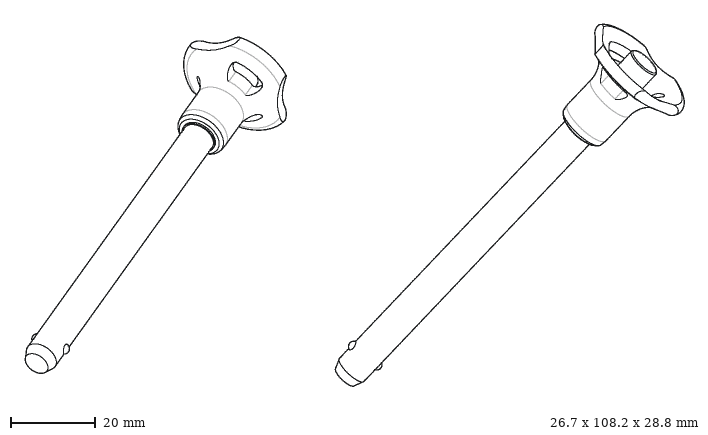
import cadquery as cq
import math

length = 108.2
shaft_radius = 4.0

button_chamfer = 0.3
tip_radius = 3.0
tip_taper_length = 2.5

ball_radius = 1.3
ball_depth = 100.8
ball_reach = 4.9

flange_radius = 14.4
rim_back_depth = 1.3
rim_radius = 1.5
collar_radius = 6.3
flare_end_depth = 12.4
collar_end_depth = 23.3
collar_nose_radius = 6.1
collar_face_radius = 5.3
nose_taper_start = collar_end_depth - 2.4
nose_chamfer_start = collar_end_depth - 0.8
seal_radius = 4.3
seal_end_depth = 23.7
dish_floor_depth = 10.3
dish_bulge = 1.1

lobe_count = 3
cut_half_angle = 31.0
cut_bottom_radius = 11.4

opening_circle_radius = 8.2
slot_width = 2.9
slot_half_sweep = 22.0
slot_angles = (60.0, -60.0)
hole_diameter = 2.2


def revolve_about_y(profile):
    return profile.close().revolve(360, (0, 0, 0), (0, 1, 0))


def polar(radius, degrees):
    angle = math.radians(degrees)
    return (radius * math.cos(angle), radius * math.sin(angle))


def through_prism(sketch):
    """Extrude an XZ outline towards the tip, through the whole handle."""
    return sketch.extrude(collar_end_depth)


def make_shaft():
    profile = (
        cq.Workplane("XY")
        .lineTo(shaft_radius - button_chamfer, 0)
        .lineTo(shaft_radius, -button_chamfer)
        .lineTo(shaft_radius, tip_taper_length - length)
        .lineTo(tip_radius, -length)
        .lineTo(0, -length)
    )
    return revolve_about_y(profile)


def make_handle_body():
    rim_centre = flange_radius - rim_radius
    rim_front_depth = rim_back_depth + 2 * rim_radius
    flare_width = rim_centre - collar_radius
    flare_depth = flare_end_depth - rim_front_depth
    flare_radius = (flare_width**2 + flare_depth**2) / (2 * flare_width)
    flare_centre = collar_radius + flare_radius

    dish_run = rim_centre - shaft_radius
    dish_rise = dish_floor_depth - rim_back_depth
    dish_chord = math.hypot(dish_run, dish_rise)
    dish_middle = (
        shaft_radius + dish_run / 2 - dish_bulge * dish_rise / dish_chord,
        -dish_floor_depth + dish_rise / 2 + dish_bulge * dish_run / dish_chord,
    )

    flare_end_angle = math.atan2(flare_depth, rim_centre - flare_centre)
    flare_angle = (math.pi + flare_end_angle) / 2
    flare_middle = (
        flare_centre + flare_radius * math.cos(flare_angle),
        flare_radius * math.sin(flare_angle) - flare_end_depth,
    )
    profile = (
        cq.Workplane("XY")
        .moveTo(0, -dish_floor_depth)
        .lineTo(shaft_radius, -dish_floor_depth)
        .threePointArc(dish_middle, (rim_centre, -rim_back_depth))
        .threePointArc(
            (flange_radius, -rim_back_depth - rim_radius), (rim_centre, -rim_front_depth)
        )
        .threePointArc(flare_middle, (collar_radius, -flare_end_depth))
        .lineTo(collar_radius, -nose_taper_start)
        .tangentArcPoint((collar_nose_radius, -nose_chamfer_start), relative=False)
        .lineTo(collar_face_radius, -collar_end_depth)
        .lineTo(seal_radius, -collar_end_depth)
        .lineTo(seal_radius, -seal_end_depth)
        .lineTo(0, -seal_end_depth)
    )
    return revolve_about_y(profile)


def make_lobe_cut(degrees):
    corner_x, corner_z = polar(flange_radius, cut_half_angle)
    sag = corner_x - cut_bottom_radius
    cut_radius = (sag**2 + corner_z**2) / (2 * sag)
    centre = polar(cut_bottom_radius + cut_radius, degrees)
    return through_prism(cq.Workplane("XZ").center(*centre).circle(cut_radius))


def make_slot(degrees):
    start = degrees - slot_half_sweep
    end = degrees + slot_half_sweep
    inner = opening_circle_radius - slot_width / 2
    outer = opening_circle_radius + slot_width / 2
    outline = (
        cq.Workplane("XZ")
        .moveTo(*polar(inner, start))
        .threePointArc(polar(inner, degrees), polar(inner, end))
        .tangentArcPoint(polar(outer, end), relative=False)
        .threePointArc(polar(outer, degrees), polar(outer, start))
        .tangentArcPoint(polar(inner, start), relative=False)
        .close()
    )
    return through_prism(outline)


def make_lanyard_hole():
    centre = polar(opening_circle_radius, 180)
    return through_prism(cq.Workplane("XZ").center(*centre).circle(hole_diameter / 2))


def make_ball(side):
    centre_x = side * (ball_reach - ball_radius)
    return cq.Workplane("XY").sphere(ball_radius).translate((centre_x, -ball_depth, 0))


handle = make_handle_body()
for index in range(lobe_count):
    handle = handle.cut(make_lobe_cut(index * 360 / lobe_count))
for slot_angle in slot_angles:
    handle = handle.cut(make_slot(slot_angle))
handle = handle.cut(make_lanyard_hole())

result = handle.union(make_shaft())
for ball_side in (-1, 1):
    result = result.union(make_ball(ball_side))